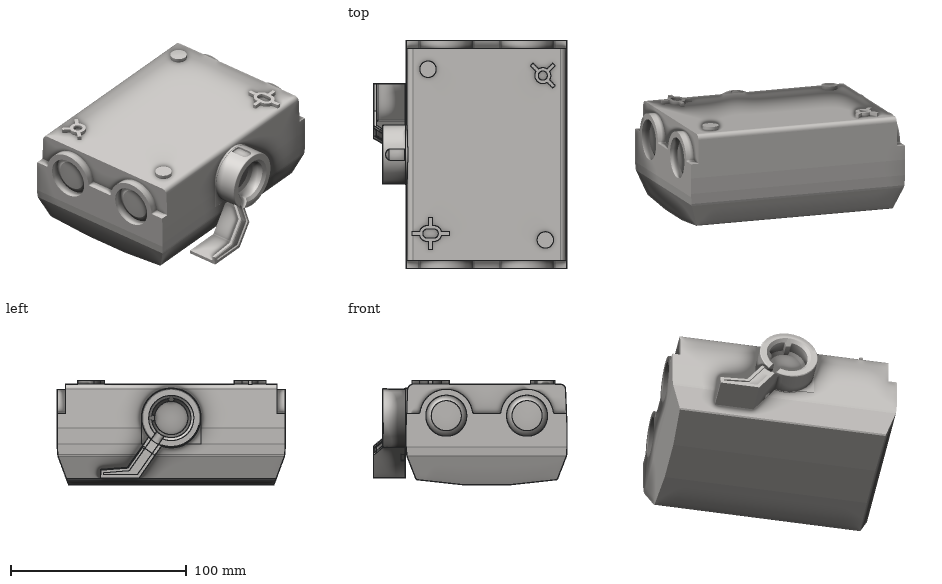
import cadquery as cq
import math

LENGTH = 130.0
HALF_LENGTH = LENGTH / 2
HALF_WIDTH = 45.9
ROOF_HALF_WIDTH = 44.8
ROOF_Z = 57.3
ROOF_FILLET = 3.0
DRAFT_END_Z = 32.5
SIDE_SEAM_Z = 23.4
LID_BREAK_Z = 17.4
LID_BREAK_HALF_WIDTH = 45.6
LID_CHAMFER_Z = 16.1
LID_CHAMFER_HALF_WIDTH = 45.4
LID_RIM_Z = 3.5
LID_RIM_HALF_WIDTH = 40.4
LID_BEVEL_Z = 2.9
LID_BEVEL_HALF_WIDTH = 39.6
LID_FLAT_HALF_WIDTH = 13.4
END_SEAM_Z = 21.5
LID_END_Z = 16.5
LID_END_HALF_LENGTH = 64.6
LID_FOOT_HALF_LENGTH = 58.5

SHOULDER_DEPTH = 4.7
SHOULDER_Z = 40.7
PORT_X = 23.0
PORT_Z = 39.4
ARCH_RADIUS = 15.1
ARCH_ROOT_FILLET = 0.9
PORT_RADIUS = 11.7
PLUG_FACE_RADIUS = 8.6
PLUG_FACE_DEPTH = 3.4
PLUG_HEIGHT = 1.7

FOOT_TOP_Z = 59.5
FOOT_ROOT_Z = 55.9
FOOT_HEIGHT = FOOT_TOP_Z - FOOT_ROOT_Z
FOOT_RADIUS = 4.7
FOOT_X = 33.4
FOOT_Y = 48.6
MOUNT_X = 32.0
MOUNT_Y = 45.0
HUB_RADIUS = 4.5
HUB_HOLE_RADIUS = 2.6
HUB_SLOT_TRAVEL = 3.6
ARM_WIDTH = 2.1
ROUND_HUB_ARM = 9.0
SLOTTED_HUB_ARM_X = 10.7
SLOTTED_HUB_ARM_Y = 9.1

KNOB_Z = 38.1
KNOB_RADIUS = 16.8
KNOB_FACE_X = -59.4
KNOB_BACK_X = -46.8
KNOB_EDGE_FILLET = 0.5
PAD_RADIUS = 17.0
PAD_X = -46.3
PAD_ROOT_X = -43.5
BORE_MOUTH_RADIUS = 12.9
BORE_RADIUS = 11.2
BORE_FLOOR_RADIUS = 9.5
BORE_DEPTH = 10.4
GROOVE_HALF_WIDTH = 3.2
GROOVE_FLOOR_RADIUS = 15.6
GROOVE_TIP_X = -57.6
GROOVE_SHOULDER_X = -55.1
GROOVE_FLOOR_X = -55.8
BUTTRESS_MOUTH_HALF_WIDTH = 3.2
BUTTRESS_FLOOR_HALF_WIDTH = 1.2
BUTTRESS_RAMP_LENGTH = 3.2

OVERALL_WIDTH = 110.5
LEVER_FRONT_X = HALF_WIDTH - OVERALL_WIDTH
LEVER_BACK_X = -46.3
LIP_THICKNESS = 2.0
LEVER_WALL = 2.0
LEVER_ELBOW = (18.2, 4.0)
LEVER_ANGLE = 55.0
LEVER_WIDTH = 9.0
TAIL_END_Y = 40.4
TAIL_TIP_Z = 8.8
TAIL_ROOT_Z = 10.0
LIP_CHAMFER = 0.5
WALL_FILLET = 1.0
WALL_START = 12.1
RAMP_START = 17.5
CHANNEL_MARGIN = 2.0
CHANNEL_DEPTH = 1.0
NOTCH_START = 22.1
NOTCH_WIDTH = 4.5
NOTCH_FRONT_X = -48.9
NOTCH_BACK_X = -46.9
NOTCH_DEPTH = 1.0


PICK = 0.1


def extrude_along_x(outline, x_start, x_end):
    """Prism of a (Y, Z) outline between two X positions."""
    plane = cq.Workplane("YZ", origin=(x_start, 0, 0))
    return plane.polyline(outline).close().extrude(x_end - x_start)


def x_cylinder(radius, y, z, x_start, x_end):
    plane = cq.Workplane("YZ", origin=(x_start, 0, 0))
    return plane.center(y, z).circle(radius).extrude(x_end - x_start)


def cross_section():
    """Full-length prism of the housing's X-Z section."""
    right_side = [
        (ROOF_HALF_WIDTH, ROOF_Z),
        (HALF_WIDTH, DRAFT_END_Z),
        (HALF_WIDTH, SIDE_SEAM_Z),
        (LID_BREAK_HALF_WIDTH, LID_BREAK_Z),
        (LID_CHAMFER_HALF_WIDTH, LID_CHAMFER_Z),
        (LID_RIM_HALF_WIDTH, LID_RIM_Z),
        (LID_BEVEL_HALF_WIDTH, LID_BEVEL_Z),
        (LID_FLAT_HALF_WIDTH, 0),
    ]
    left_side = [(-x, z) for x, z in reversed(right_side)]
    prism = (
        cq.Workplane("XZ", origin=(0, HALF_LENGTH, 0))
        .polyline(right_side + left_side)
        .close()
        .extrude(LENGTH)
    )
    return prism.edges("|Y and >Z").fillet(ROOF_FILLET)


def lengthwise_envelope():
    """Prism of the Y-Z outline that slopes the lid's two ends."""
    front_end = [
        (HALF_LENGTH, ROOF_Z),
        (HALF_LENGTH, END_SEAM_Z),
        (LID_END_HALF_LENGTH, LID_END_Z),
        (LID_FOOT_HALF_LENGTH, 0),
    ]
    back_end = [(-y, z) for y, z in reversed(front_end)]
    return extrude_along_x(front_end + back_end, -HALF_WIDTH, HALF_WIDTH)


def shoulder_cut():
    """Material removed above the shoulder and arches of the -Y end."""
    plane = cq.Workplane("XZ", origin=(0, -HALF_LENGTH + SHOULDER_DEPTH, 0))
    height = ROOF_Z - SHOULDER_Z
    cut = plane.center(0, SHOULDER_Z + height / 2).rect(2 * HALF_WIDTH, height).extrude(SHOULDER_DEPTH)
    for x in (-PORT_X, PORT_X):
        cut = cut.cut(plane.center(x, PORT_Z).circle(ARCH_RADIUS).extrude(SHOULDER_DEPTH))
    roots = cq.selectors.BoxSelector(
        (-PORT_X - ARCH_RADIUS - PICK, -HALF_LENGTH, SHOULDER_Z - PICK),
        (PORT_X + ARCH_RADIUS + PICK, HALF_LENGTH, SHOULDER_Z + PICK),
    )
    return cut.edges("|Y").edges(roots).fillet(ARCH_ROOT_FILLET)


def port_recess(x):
    """Round port in the -Y end, with a conical plug standing on its floor."""
    depth = PLUG_FACE_DEPTH + PLUG_HEIGHT
    port = cq.Workplane("XZ", origin=(x, -HALF_LENGTH + depth, PORT_Z)).circle(PORT_RADIUS).extrude(depth)
    plug = cq.Solid.makeCone(
        PLUG_FACE_RADIUS, PORT_RADIUS, PLUG_HEIGHT,
        cq.Vector(x, -HALF_LENGTH + PLUG_FACE_DEPTH, PORT_Z), cq.Vector(0, 1, 0),
    )
    return port.cut(cq.Workplane(plug))


def housing():
    body = cross_section().intersect(lengthwise_envelope())
    for end_cut in (shoulder_cut(), port_recess(-PORT_X), port_recess(PORT_X)):
        body = body.cut(end_cut).cut(end_cut.mirror("XZ"))
    return body


def foot_plane(x, y):
    return cq.Workplane("XY", origin=(x, y, FOOT_ROOT_Z))


def round_foot(x, y):
    return foot_plane(x, y).circle(FOOT_RADIUS).extrude(FOOT_HEIGHT)


def arm(x, y, reach, angle):
    bar = foot_plane(x, y).center(reach / 2, 0).rect(reach, ARM_WIDTH).extrude(FOOT_HEIGHT)
    return bar.rotate((x, y, 0), (x, y, 1), angle)


def hub_hole_plane(x, y):
    return cq.Workplane("XY", origin=(x, y, ROOF_Z))


def round_mount(x, y):
    """Round hub with three diagonal arms."""
    mount = foot_plane(x, y).circle(HUB_RADIUS).extrude(FOOT_HEIGHT)
    for angle in (-45, 45, 135):
        mount = mount.union(arm(x, y, ROUND_HUB_ARM, angle))
    return mount.cut(hub_hole_plane(x, y).circle(HUB_HOLE_RADIUS).extrude(FOOT_HEIGHT))


def slotted_mount(x, y):
    """Slotted hub with four arms."""
    hub_length = HUB_SLOT_TRAVEL + 2 * HUB_RADIUS
    hole_length = HUB_SLOT_TRAVEL + 2 * HUB_HOLE_RADIUS
    mount = foot_plane(x, y).slot2D(hub_length, 2 * HUB_RADIUS).extrude(FOOT_HEIGHT)
    for angle in (0, 180):
        mount = mount.union(arm(x, y, SLOTTED_HUB_ARM_X, angle))
    for angle in (90, 270):
        mount = mount.union(arm(x, y, SLOTTED_HUB_ARM_Y, angle))
    return mount.cut(hub_hole_plane(x, y).slot2D(hole_length, 2 * HUB_HOLE_RADIUS).extrude(FOOT_HEIGHT))


def knob_pad():
    """Flat seat for the knob: a disc with straight sides down to the lid seam."""
    disc = x_cylinder(PAD_RADIUS, 0, KNOB_Z, PAD_X, PAD_ROOT_X)
    sides = [
        (-PAD_RADIUS, KNOB_Z),
        (PAD_RADIUS, KNOB_Z),
        (PAD_RADIUS, SIDE_SEAM_Z),
        (-PAD_RADIUS, SIDE_SEAM_Z),
    ]
    return disc.union(extrude_along_x(sides, PAD_X, PAD_ROOT_X))


def knob_groove():
    """Round-tipped groove on top of the knob, its curved floor ramping up to the tip."""
    plan = (
        cq.Workplane("XY", origin=(0, 0, KNOB_Z))
        .moveTo(KNOB_BACK_X, -GROOVE_HALF_WIDTH)
        .lineTo(GROOVE_SHOULDER_X, -GROOVE_HALF_WIDTH)
        .threePointArc((GROOVE_TIP_X, 0), (GROOVE_SHOULDER_X, GROOVE_HALF_WIDTH))
        .lineTo(KNOB_BACK_X, GROOVE_HALF_WIDTH)
        .close()
        .extrude(KNOB_RADIUS)
    )
    core = (
        cq.Workplane("XZ", origin=(0, 0, KNOB_Z))
        .polyline([
            (KNOB_FACE_X, 0),
            (KNOB_FACE_X, KNOB_RADIUS),
            (GROOVE_TIP_X, KNOB_RADIUS),
            (GROOVE_FLOOR_X, GROOVE_FLOOR_RADIUS),
            (KNOB_BACK_X, GROOVE_FLOOR_RADIUS),
            (KNOB_BACK_X, 0),
        ])
        .close()
        .revolve(360, (0, 0, 0), (1, 0, 0))
    )
    return plan.cut(core)


def knob_drum():
    drum = x_cylinder(KNOB_RADIUS, 0, KNOB_Z, KNOB_FACE_X, PAD_X)
    drum = drum.faces("<X").edges().fillet(KNOB_EDGE_FILLET)
    return drum.cut(knob_groove())


def bore_buttress():
    """Tapered key at the top of the bore, sloped at the mouth and reaching the floor."""
    floor_x = KNOB_FACE_X + BORE_DEPTH
    mouth_z = KNOB_Z + BORE_MOUTH_RADIUS
    floor_z = KNOB_Z + BORE_FLOOR_RADIUS
    taper = [
        (-BUTTRESS_MOUTH_HALF_WIDTH, mouth_z),
        (-BUTTRESS_FLOOR_HALF_WIDTH, floor_z),
        (BUTTRESS_FLOOR_HALF_WIDTH, floor_z),
        (BUTTRESS_MOUTH_HALF_WIDTH, mouth_z),
    ]
    profile = (
        cq.Workplane("XZ", origin=(0, BUTTRESS_MOUTH_HALF_WIDTH, 0))
        .polyline([
            (KNOB_FACE_X, mouth_z),
            (floor_x, mouth_z),
            (floor_x, floor_z),
            (KNOB_FACE_X + BUTTRESS_RAMP_LENGTH, floor_z),
        ])
        .close()
        .extrude(2 * BUTTRESS_MOUTH_HALF_WIDTH)
    )
    return profile.intersect(extrude_along_x(taper, KNOB_FACE_X, floor_x))


def knob_bore():
    """Bore with a chamfered mouth and a chamfered floor, less two buttresses a quarter turn apart."""
    mouth = BORE_MOUTH_RADIUS - BORE_RADIUS
    floor_x = KNOB_FACE_X + BORE_DEPTH
    floor_chamfer = BORE_RADIUS - BORE_FLOOR_RADIUS
    half_section = [
        (KNOB_FACE_X, 0),
        (KNOB_FACE_X, BORE_MOUTH_RADIUS),
        (KNOB_FACE_X + mouth, BORE_RADIUS),
        (floor_x - floor_chamfer, BORE_RADIUS),
        (floor_x, BORE_FLOOR_RADIUS),
        (floor_x, 0),
    ]
    bore = (
        cq.Workplane("XZ", origin=(0, 0, KNOB_Z))
        .polyline(half_section).close()
        .revolve(360, (0, 0, 0), (1, 0, 0))
    )
    top_buttress = bore_buttress()
    side_buttress = top_buttress.rotate((0, 0, KNOB_Z), (1, 0, KNOB_Z), -90)
    return bore.cut(top_buttress).cut(side_buttress)


ARM_DIRECTION = (math.cos(math.radians(LEVER_ANGLE)), -math.sin(math.radians(LEVER_ANGLE)))
ARM_NORMAL = (-ARM_DIRECTION[1], ARM_DIRECTION[0])
RAMP_RISE = KNOB_FACE_X - LEVER_FRONT_X
RAMP_END = RAMP_START + RAMP_RISE


def lower_edge_at(z, inset):
    """Y of the arm's lower edge at height z, moved inwards by inset."""
    along = (z - LEVER_ELBOW[1] - inset * ARM_NORMAL[1]) / ARM_DIRECTION[1]
    return LEVER_ELBOW[0] + inset * ARM_NORMAL[0] + along * ARM_DIRECTION[0]


def lever_outline(inset):
    """(Y, Z) outline of the bent lever, moved inwards by inset and reaching up to the knob's axis."""
    floor_z = LEVER_ELBOW[1] + inset
    root_z = TAIL_ROOT_Z - inset
    upper_inset = LEVER_WIDTH - inset
    return [
        (lower_edge_at(KNOB_Z, inset), KNOB_Z),
        (lower_edge_at(floor_z, inset), floor_z),
        (TAIL_END_Y - inset, floor_z),
        (TAIL_END_Y - inset, TAIL_TIP_Z - inset),
        (lower_edge_at(root_z, upper_inset), root_z),
        (lower_edge_at(KNOB_Z, upper_inset), KNOB_Z),
    ]


def arm_prism(profile):
    """Wide prism across the arm of a profile given as (distance along the arm, X)."""
    plane = cq.Plane(
        origin=(0, 0, KNOB_Z),
        xDir=(0, ARM_DIRECTION[0], ARM_DIRECTION[1]),
        normal=(0, ARM_NORMAL[0], ARM_NORMAL[1]),
    )
    points = [(along, -x) for along, x in profile]
    return cq.Workplane(plane).polyline(points).close().extrude(LENGTH, both=True)


def ramp_profile(depth, start, far_x):
    """Region between the ramped front surface, lowered by depth, and the plane X = far_x."""
    front = LEVER_FRONT_X + depth
    start_x = front + RAMP_END - start
    return [(start, start_x), (RAMP_END, front), (LENGTH, front), (LENGTH, far_x), (start, far_x)]


def lever_lip():
    start = BORE_MOUTH_RADIUS
    front = ramp_profile(0, start, LEVER_BACK_X)
    back = ramp_profile(LIP_THICKNESS, start, LEVER_BACK_X)
    lip = extrude_along_x(lever_outline(0), LEVER_FRONT_X, LEVER_BACK_X)
    lip = lip.intersect(arm_prism(front))
    lip = lip.faces("<X").edges().chamfer(LIP_CHAMFER)
    return lip.cut(arm_prism(back))


def lever_wall():
    """Thin wall along the lever's lower edge, behind the lip."""
    floor_z = LEVER_ELBOW[1]
    top_z = KNOB_Z - KNOB_RADIUS
    outline = [
        (lower_edge_at(top_z, 0), top_z),
        LEVER_ELBOW,
        (TAIL_END_Y, floor_z),
        (TAIL_END_Y, floor_z + LEVER_WALL),
        (lower_edge_at(floor_z + LEVER_WALL, LEVER_WALL), floor_z + LEVER_WALL),
        (lower_edge_at(top_z, LEVER_WALL), top_z),
    ]
    wall = extrude_along_x(outline, LEVER_FRONT_X, LEVER_BACK_X)
    wall = wall.intersect(arm_prism(ramp_profile(0, WALL_START, LEVER_BACK_X)))
    notch_end = NOTCH_START + NOTCH_WIDTH
    notch = arm_prism([
        (NOTCH_START, NOTCH_FRONT_X),
        (notch_end, NOTCH_FRONT_X),
        (notch_end, NOTCH_BACK_X),
        (NOTCH_START, NOTCH_BACK_X),
    ])
    core = extrude_along_x(lever_outline(NOTCH_DEPTH), NOTCH_FRONT_X, NOTCH_BACK_X)
    return wall.cut(notch.cut(core))


def lever_body():
    """Lip and wall joined, with the inside corners of the tail rounded."""
    wall_top_z = LEVER_ELBOW[1] + LEVER_WALL
    inner_elbow_y = lower_edge_at(wall_top_z, LEVER_WALL)
    lip_back_x = LEVER_FRONT_X + LIP_THICKNESS
    body = lever_lip().union(lever_wall())
    inner_tail_y = (inner_elbow_y + TAIL_END_Y) / 2
    tail_corner = cq.selectors.BoxSelector(
        (lip_back_x - PICK, inner_tail_y - PICK, wall_top_z - PICK),
        (lip_back_x + PICK, inner_tail_y + PICK, wall_top_z + PICK),
    )
    elbow_corner = cq.selectors.BoxSelector(
        (lip_back_x, inner_elbow_y - PICK, wall_top_z - PICK),
        (LEVER_BACK_X, inner_elbow_y + PICK, wall_top_z + PICK),
    )
    return body.edges(cq.selectors.SumSelector(tail_corner, elbow_corner)).fillet(WALL_FILLET)


def lever_channel():
    """Sunk front of the lever; its ramp runs on down through the knob wall into the bore."""
    channel = extrude_along_x(lever_outline(CHANNEL_MARGIN), LEVER_FRONT_X, LEVER_BACK_X)
    return channel.intersect(arm_prism(ramp_profile(CHANNEL_DEPTH, BORE_FLOOR_RADIUS, LEVER_FRONT_X)))


knob = knob_drum().union(lever_body()).cut(knob_bore()).cut(lever_channel())

result = housing().union(knob_pad()).union(knob)
result = result.union(round_foot(-FOOT_X, FOOT_Y)).union(round_foot(FOOT_X, -FOOT_Y))
result = result.union(round_mount(MOUNT_X, MOUNT_Y)).union(slotted_mount(-MOUNT_X, -MOUNT_Y))